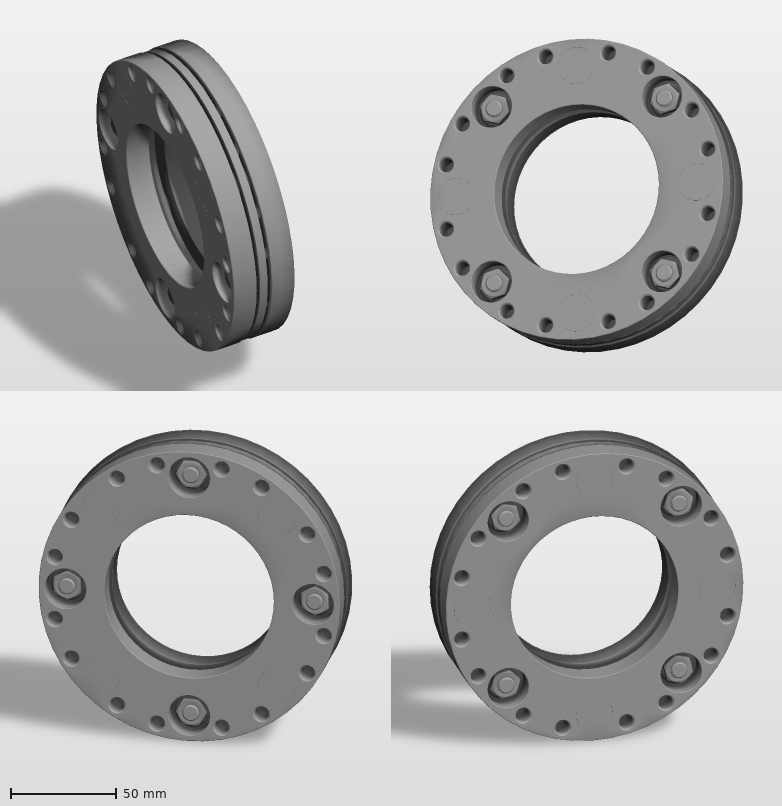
import cadquery as cq
import math

OUTER_DIA = 146.0
BORE_DIA = 82.0
TOTAL_WIDTH = 32.4

PLATE_WIDTH = 12.3
EDGE_CHAMFER = 0.3
DISC_WIDTH = 4.0
DISC_OUTER_DIA = 145.0
DISC_BORE_DIA = 95.0
OUTER_FACE = TOTAL_WIDTH / 2
INNER_FACE = OUTER_FACE - PLATE_WIDTH

MOUNT_RADIUS = 60.0
MOUNTS_PER_PLATE = 4
MOUNT_PITCH = 360 / MOUNTS_PER_PLATE
BUFFER_DIA = 18.0
PLUG_DIA = 17.8
PLUG_GAP_DEPTH = 0.7

COUNTERBORE_DIA = 20.0
COUNTERBORE_DEPTH = 11.0
FLANGE_DIA = 18.0
FLANGE_RIM = 1.2
FLANGE_CONE = 1.2
NUT_FLATS = 13.0
NUT_CORNERS = NUT_FLATS / math.cos(math.pi / 6)
NUT_FACE_DIA = 12.3
NUT_CHAMFER_SLOPE = math.tan(math.pi / 6)
NUT_TOP_DEPTH = 4.5
NUT_HEIGHT = COUNTERBORE_DEPTH - NUT_TOP_DEPTH
STUD_DIA = 8.0
STUD_TIP_DIA = 6.7
STUD_TIP_DEPTH = 3.0
STUD_LENGTH = COUNTERBORE_DEPTH - STUD_TIP_DEPTH

HOLE_DIA = 6.9
COUNTERSINK_DIA = 8.3
COUNTERSINK_ANGLE = 90.0
HOLE_RADIUS = 67.0
HOLE_GROUPS = 8
HOLE_HALF_ANGLE = 9.0
HOLE_GROUP_START = 22.5


def polar(radius, angle):
    """Point on a circle in the plate's own XY plane."""
    return (radius * math.cos(math.radians(angle)), radius * math.sin(math.radians(angle)))


def ring(outer_dia, inner_dia, bottom, width):
    """Flat ring with its lower face at Z = bottom."""
    return (
        cq.Workplane("XY")
        .workplane(offset=bottom)
        .circle(outer_dia / 2)
        .circle(inner_dia / 2)
        .extrude(width)
    )


def mount_points(start_angle):
    """Centres of one set of four mounts."""
    return [polar(MOUNT_RADIUS, start_angle + i * MOUNT_PITCH) for i in range(MOUNTS_PER_PLATE)]


def hole_points():
    """Centres of the sixteen countersunk holes."""
    points = []
    for i in range(HOLE_GROUPS):
        middle = HOLE_GROUP_START + i * 360 / HOLE_GROUPS
        points += [polar(HOLE_RADIUS, middle + side * HOLE_HALF_ANGLE) for side in (-1, 1)]
    return points


def stud_and_nut():
    """Flange nut on a chamfered stud, standing on Z = 0."""
    flange = (
        cq.Workplane("XZ")
        .polyline([
            (0, 0),
            (FLANGE_DIA / 2, 0),
            (FLANGE_DIA / 2, FLANGE_RIM),
            (NUT_CORNERS / 2, FLANGE_RIM + FLANGE_CONE),
            (0, FLANGE_RIM + FLANGE_CONE),
        ])
        .close()
        .revolve(360, (0, 0, 0), (0, 1, 0))
    )
    corner_inset = (NUT_CORNERS - NUT_FACE_DIA) / 2
    envelope = (
        cq.Workplane("XY")
        .circle(NUT_CORNERS / 2)
        .extrude(NUT_HEIGHT)
        .faces(">Z")
        .chamfer(corner_inset * NUT_CHAMFER_SLOPE, corner_inset)
    )
    hexagon = cq.Workplane("XY").polygon(6, NUT_CORNERS).extrude(NUT_HEIGHT)
    nut = hexagon.rotate((0, 0, 0), (0, 0, 1), 90).intersect(envelope)
    stud = (
        cq.Workplane("XY")
        .circle(STUD_DIA / 2)
        .extrude(STUD_LENGTH)
        .faces(">Z")
        .chamfer((STUD_DIA - STUD_TIP_DIA) / 2)
    )
    return flange.union(nut).union(stud)


def plate():
    """One plate with its outer face towards +Z, bolted mounts on the axes, plugs between them."""
    body = ring(OUTER_DIA, BORE_DIA, INNER_FACE, PLATE_WIDTH)
    outer = cq.Workplane("XY").workplane(offset=OUTER_FACE)

    plug_gaps = (
        outer.pushPoints(mount_points(MOUNT_PITCH / 2))
        .circle(BUFFER_DIA / 2)
        .circle(PLUG_DIA / 2)
        .extrude(-PLUG_GAP_DEPTH)
    )
    counterbores = (
        outer.pushPoints(mount_points(0))
        .circle(COUNTERBORE_DIA / 2)
        .extrude(-COUNTERBORE_DEPTH)
    )
    body = body.cut(counterbores).faces("<Z or >Z").edges().chamfer(EDGE_CHAMFER).cut(plug_gaps)
    body = (
        body.faces(">Z")
        .workplane(origin=(0, 0, OUTER_FACE))
        .pushPoints(hole_points())
        .cskHole(HOLE_DIA, COUNTERSINK_DIA, COUNTERSINK_ANGLE)
    )

    fastener = stud_and_nut().translate((MOUNT_RADIUS, 0, OUTER_FACE - COUNTERBORE_DEPTH))
    for i in range(MOUNTS_PER_PLATE):
        body = body.union(fastener.rotate((0, 0, 0), (0, 0, 1), i * MOUNT_PITCH))
    return body


def buffers():
    """All eight buffers, running from plate to plate through the disc."""
    points = mount_points(0) + mount_points(MOUNT_PITCH / 2)
    return (
        cq.Workplane("XY")
        .workplane(offset=-INNER_FACE)
        .pushPoints(points)
        .circle(BUFFER_DIA / 2)
        .extrude(2 * INNER_FACE)
    )


front_plate = plate()
back_plate = front_plate.mirror("XY").rotate((0, 0, 0), (0, 0, 1), MOUNT_PITCH / 2)
disc = ring(DISC_OUTER_DIA, DISC_BORE_DIA, -DISC_WIDTH / 2, DISC_WIDTH)
stack = disc.union(buffers()).union(front_plate).union(back_plate)

result = stack.rotate((0, 0, 0), (1, 0, 0), 90)